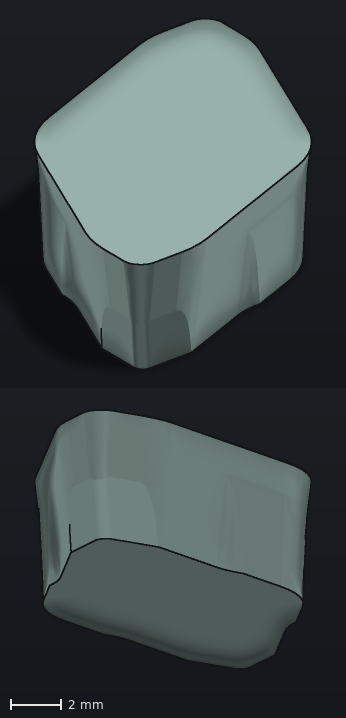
import cadquery as cq
import math

width = 11.0
length = 23.27
height = 5.0

nose_angle = 40.0
wide_corner_y = 2.0
wide_corner_radius = 5.5
side_end_y = 8.91
tip_turn_angle = 20.0
tip_blend_radius = 4.82
relief_angle = 7.0

facet_drop = 2.63
facet_angle = 12.0
facet_nose_radius = 0.47

pad_drop = 1.25
pad_angle = 2.7
pad_end_upper_y = 4.07
pad_end_lower_y = -6.52
pad_blend_radius = 3.25
pad_blend_sweep = 50.0
pad_reach = 4.65
pad_lead_in = 0.7

half_width = width / 2
tip_axis_angle = nose_angle / 2
sharp_nose_y = wide_corner_y + width / math.tan(math.radians(nose_angle))
nose_trim = sharp_nose_y - side_end_y
tip_half_angle = tip_axis_angle + tip_turn_angle


def step(point, angle, distance):
    """Move from a point; the angle turns clockwise from +Y."""
    turn = math.radians(angle)
    return (point[0] + distance * math.sin(turn), point[1] + distance * math.cos(turn))


def opposite(point):
    return (-point[0], -point[1])


def tapered(outline, depth, angle, top_z):
    """Extrude an outline downward while it shrinks at the given wall angle."""
    wire = outline.translate((0, 0, top_z))
    solid = cq.Solid.extrudeLinear(wire, [], cq.Vector(0, 0, -depth), angle)
    return cq.Workplane(obj=solid)


def polygon(points):
    return cq.Wire.makePolygon([cq.Vector(*p) for p in points], close=True)


def shrink(angle, depth):
    return depth * math.tan(math.radians(angle))


sharp_nose = (-half_width, sharp_nose_y)
side_end = (-half_width, side_end_y)
lean_end = step(sharp_nose, 180 - nose_angle, nose_trim)
tip_setback = (
    nose_trim * math.sin(math.radians(tip_turn_angle)) / math.sin(math.radians(tip_half_angle))
)
tip = step(sharp_nose, 180 - tip_axis_angle, tip_setback)
wide_corner = (half_width, wide_corner_y)

nose_slope = math.cos(math.radians(tip_axis_angle)) / math.sin(math.radians(tip_half_angle))
nose_radius = (tip[1] - length / 2) / (nose_slope - 1)


def rounded_outline(corners):
    """Closed outline from (corner, radius) pairs with a tangent arc at each corner."""
    path = None
    count = len(corners)
    for i, (corner, radius) in enumerate(corners):
        here = cq.Vector(*corner)
        back = (cq.Vector(*corners[i - 1][0]) - here).normalized()
        ahead = (cq.Vector(*corners[(i + 1) % count][0]) - here).normalized()
        half_angle = back.getAngle(ahead) / 2
        tangent = radius / math.tan(half_angle)
        middle = (back + ahead).normalized() * (radius / math.sin(half_angle) - radius)
        start = here + back * tangent
        path = path.lineTo(start.x, start.y) if path else cq.Workplane().moveTo(start.x, start.y)
        arc_middle = here + middle
        arc_end = here + ahead * tangent
        path = path.threePointArc((arc_middle.x, arc_middle.y), (arc_end.x, arc_end.y))
    return path.close().val()


half_corners = [
    (side_end, tip_blend_radius),
    (tip, nose_radius),
    (lean_end, tip_blend_radius),
    (wide_corner, wide_corner_radius),
]
outline = rounded_outline(half_corners + [(opposite(p), r) for p, r in half_corners])


def tip_envelope():
    """Parallelogram carrying the tip facets, with rounded noses."""
    facet_height = height - facet_drop
    inset = shrink(relief_angle, facet_drop) / math.sin(math.radians(tip_half_angle))
    nose = step(tip, 180 - tip_axis_angle, inset)
    u = step((0, 0), 180 + tip_turn_angle, 1)
    v = step((0, 0), 180 - nose_angle - tip_turn_angle, 1)
    area = u[0] * v[1] - u[1] * v[0]
    reach = 2 * (nose[1] * v[0] - nose[0] * v[1]) / area
    side = (nose[0] + reach * u[0], nose[1] + reach * u[1])
    lower = tapered(
        polygon([nose, side, opposite(nose), opposite(side)]), facet_height, facet_angle, -facet_drop
    )
    lower = lower.edges("not #Z").edges(">Y or <Y").fillet(facet_nose_radius)
    upper = cq.Workplane().box(2 * length, 2 * length, facet_drop, centered=(True, True, False))
    return lower.union(upper.translate((0, 0, -facet_drop)))


def wide_corner_pad():
    """Pad on the -X wide corner; concave arcs lead from the relief faces to its ends."""
    inset = shrink(relief_angle, pad_drop)
    corner = opposite(wide_corner)
    corner = step(corner, 90 - tip_axis_angle, inset / math.cos(math.radians(tip_axis_angle)))
    upper = (corner[0], pad_end_upper_y)
    lean_run = (corner[1] - pad_end_lower_y) / math.cos(math.radians(nose_angle))
    lower = step(corner, 180 - nose_angle, lean_run)

    def blend(start, along, outward):
        center = step(start, outward, pad_blend_radius)
        turn = 1 if math.sin(math.radians(along - outward)) > 0 else -1
        points = []
        for sweep in (pad_blend_sweep / 2, pad_blend_sweep):
            points.append(step(center, outward + 180 - turn * sweep, pad_blend_radius))
        return points

    upper_mid, upper_end = blend(upper, 180, -90)
    lower_mid, lower_end = blend(lower, -nose_angle, -90 - nose_angle)
    upper_lead = step(upper, 0, pad_lead_in)
    lower_lead = step(lower, 180 - nose_angle, pad_lead_in)
    limit = (
        cq.Workplane()
        .moveTo(*upper_lead)
        .lineTo(*upper)
        .threePointArc(upper_mid, upper_end)
        .lineTo(upper_end[0] - pad_reach, upper_end[1])
        .lineTo(upper_end[0] - pad_reach, lower_end[1])
        .lineTo(*lower_end)
        .threePointArc(lower_mid, lower)
        .lineTo(*lower_lead)
        .lineTo(0, lower_lead[1])
        .lineTo(0, upper_lead[1])
        .close()
        .val()
    )
    pad_height = height - pad_drop
    pad_outline = outline.offset2D(-inset)[0]
    pad = tapered(pad_outline, pad_height, pad_angle, -pad_drop)
    return pad.intersect(tapered(limit, pad_height, relief_angle, -pad_drop))


body = tapered(outline, height, relief_angle, 0)
body = body.intersect(tip_envelope())
pad = wide_corner_pad()
result = body.union(pad).union(pad.rotate((0, 0, 0), (0, 0, 1), 180))